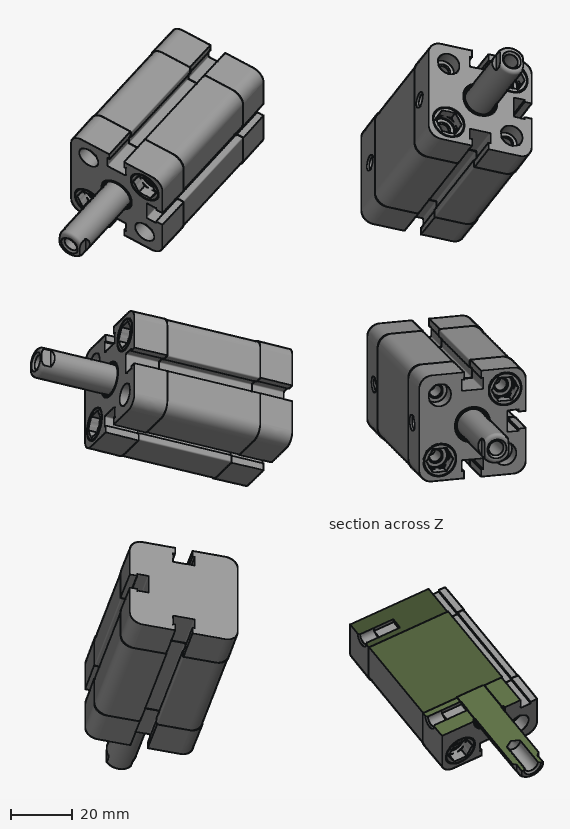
import cadquery as cq
import math


total_length = 83.6
front_cap_length = 11.9
barrel_length = 33.5
rear_cap_length = 11.6
body_length = front_cap_length + barrel_length + rear_cap_length
rod_stick_out = total_length - body_length
rear_cap_start = front_cap_length + barrel_length

barrel_side = 36.0
barrel_corner_radius = 4.5
cap_side = 36.3
cap_corner_radius = 4.35
cap_draft_angle = 0.5

slot_angles = (0, 90, 180)
slot_lip_height = 15.55
cap_slot_mouth = 5.8
cap_slot_width = 7.3
cap_slot_floor = 11.8
barrel_slot_mouth = 5.3
barrel_slot_width = 6.85
barrel_slot_floor = 12.0
slot_floor_radius = 0.4
lip_edge_radius = 0.5

mount_offset = 11.0
mount_bore_diameter = 7.5
mount_bore_depth = 4.7
thread_diameter = 4.9
thread_core_diameter = 4.1

socket_groove_diameter = 11.1
socket_rim_diameter = 10.45
socket_groove_depth = 0.7
hex_across_flats = 7.9
hex_depth = 3.2
socket_bore_diameter = 8.0

port_distance = 7.5
port_diameter = 4.1
port_mouth_diameter = 5.35
port_depth = 5.85
port_slit_height = 2.8

rod_diameter = 10.0
rod_tip_radius = 1.25
rod_bore_diameter = 4.9
rod_bore_mouth_diameter = 6.4
rod_bore_depth = 11.7
drill_point_angle = 118.0
flats_width = 8.0
flats_length = 3.35

wiper_mouth_diameter = 12.0
wiper_recess_diameter = 11.4
wiper_recess_depth = 0.8
lip_foot_diameter = 11.1
lip_top_diameter = 10.9
lip_bore_diameter = 10.45
lip_top_depth = 0.2


def y_plane(y):
    """Workplane at height y, looking along +Y, with its local axes along X and -Z."""
    return cq.Workplane(cq.Plane(origin=(0, y, 0), xDir=(1, 0, 0), normal=(0, 1, 0)))


def revolve_about_y(points):
    """Revolve a closed outline of (radius, y) points about the Y axis."""
    return cq.Workplane("XY").polyline(points).close().revolve(360, (0, 0), (0, 1))


def slot_cutters(mouth, width, floor, start, length):
    """T-slot cutters for the three slotted sides."""
    outside = cap_side
    wide_part = (
        cq.Workplane("XY")
        .box(width, length, slot_lip_height - floor, centered=(True, False, False))
        .edges("|Y and <Z")
        .fillet(slot_floor_radius)
        .translate((0, start, floor))
    )
    narrow_part = (
        cq.Workplane("XY")
        .box(mouth, length, outside - slot_lip_height, centered=(True, False, False))
        .translate((0, start, slot_lip_height))
    )
    slot = wide_part.union(narrow_part)
    return [slot.rotate((0, 0, 0), (0, 1, 0), angle) for angle in slot_angles]


def cut_slots(body, mouth, width, floor, start, length):
    for cutter in slot_cutters(mouth, width, floor, start, length):
        body = body.cut(cutter)
    return body


def make_barrel():
    barrel = (
        y_plane(front_cap_length)
        .rect(barrel_side, barrel_side)
        .extrude(barrel_length)
        .edges("|Y")
        .fillet(barrel_corner_radius)
    )
    barrel = cut_slots(
        barrel, barrel_slot_mouth, barrel_slot_width, barrel_slot_floor, front_cap_length, barrel_length
    )
    half_side = barrel_side / 2
    half_mouth = barrel_slot_mouth / 2
    middle = front_cap_length + barrel_length / 2
    for x, z in (
        (half_mouth, half_side),
        (-half_mouth, half_side),
        (half_mouth, -half_side),
        (-half_mouth, -half_side),
        (half_side, half_mouth),
        (half_side, -half_mouth),
    ):
        barrel = barrel.edges(cq.selectors.NearestToPointSelector((x, middle, z))).fillet(lip_edge_radius)
    return barrel


def port_cutter(y):
    """Blind air port with a countersunk mouth and a slit that runs in to the rod's diameter."""
    side = cap_side / 2
    radius = port_diameter / 2
    mouth_radius = port_mouth_diameter / 2
    port_floor = side - port_depth
    drill = (
        cq.Workplane("XY")
        .polyline(
            [
                (-side, 0),
                (-side, mouth_radius),
                (-side + mouth_radius - radius, radius),
                (-port_floor, radius),
                (-port_floor, 0),
            ]
        )
        .close()
        .revolve(360, (0, 0), (1, 0))
    )
    slit = cq.Workplane("XY").box(port_floor, port_diameter, port_slit_height, centered=(False, True, True))
    slit = slit.translate((-port_floor, 0, 0))
    core = y_plane(-port_diameter).circle(rod_diameter / 2).extrude(2 * port_diameter)
    return drill.union(slit.cut(core)).translate((0, y, 0))


def make_cap(joint_y, outward, length):
    """Drafted cap block; outward is +1 or -1, the Y direction from the joint to the outer face."""
    plane = cq.Plane(origin=(0, joint_y, 0), xDir=(1, 0, 0), normal=(0, outward, 0))
    cap = (
        cq.Workplane(plane)
        .sketch()
        .rect(cap_side, cap_side)
        .vertices()
        .fillet(cap_corner_radius)
        .finalize()
        .extrude(length, taper=cap_draft_angle)
    )
    start = min(joint_y, joint_y + outward * length)
    cap = cut_slots(cap, cap_slot_mouth, cap_slot_width, cap_slot_floor, start, length)
    return cap.cut(port_cutter(joint_y + outward * (length - port_distance)))


def mount_hole_cutter(bore_diameter):
    """Bore with a coned bottom edge, then a countersunk thread core through the rest of the front cap."""
    bore_radius = bore_diameter / 2
    floor_radius = mount_bore_diameter / 2
    core_radius = thread_core_diameter / 2
    thread_radius = thread_diameter / 2
    outline = [(0, 0), (bore_radius, 0)]
    if bore_radius > floor_radius:
        outline.append((bore_radius, mount_bore_depth - (bore_radius - floor_radius)))
    outline += [
        (floor_radius, mount_bore_depth),
        (thread_radius, mount_bore_depth),
        (core_radius, mount_bore_depth + thread_radius - core_radius),
        (core_radius, front_cap_length),
        (0, front_cap_length),
    ]
    return revolve_about_y(outline)


def socket_cutters():
    """Mounting hole with a hexagon at its mouth and a V-groove around it."""
    groove_radius = socket_groove_diameter / 2
    rim_radius = socket_rim_diameter / 2
    groove = revolve_about_y([(rim_radius, 0), (groove_radius, 0), (groove_radius, socket_groove_depth)])
    across_corners = hex_across_flats / math.cos(math.radians(30))
    hexagon = y_plane(0).polygon(6, across_corners).extrude(hex_depth)
    hole = mount_hole_cutter(socket_bore_diameter).union(hexagon)
    return [hole, groove]


def rod_hole_cutter():
    """Bore fitting the rod, with the wiper lip standing in the recess at its mouth."""
    mouth_radius = wiper_mouth_diameter / 2
    recess_radius = wiper_recess_diameter / 2
    rod_radius = rod_diameter / 2
    return revolve_about_y(
        [
            (0, 0),
            (mouth_radius, 0),
            (recess_radius, mouth_radius - recess_radius),
            (recess_radius, wiper_recess_depth),
            (lip_foot_diameter / 2, wiper_recess_depth),
            (lip_top_diameter / 2, lip_top_depth),
            (lip_bore_diameter / 2, lip_top_depth),
            (lip_bore_diameter / 2, wiper_recess_depth),
            (rod_radius, wiper_recess_depth),
            (rod_radius, front_cap_length),
            (0, front_cap_length),
        ]
    )


def make_front_cap():
    cap = make_cap(front_cap_length, -1, front_cap_length)
    plain_hole = mount_hole_cutter(mount_bore_diameter)
    for side in (1, -1):
        cap = cap.cut(plain_hole.translate((-side * mount_offset, 0, side * mount_offset)))
        for cutter in socket_cutters():
            cap = cap.cut(cutter.translate((side * mount_offset, 0, side * mount_offset)))
    return cap.cut(rod_hole_cutter())


def make_rear_cap():
    return make_cap(rear_cap_start, 1, rear_cap_length)


def make_rod():
    radius = rod_diameter / 2
    tip_y = -rod_stick_out
    rod = (
        y_plane(tip_y)
        .circle(radius)
        .extrude(rod_stick_out + front_cap_length)
        .faces("<Y")
        .edges()
        .fillet(rod_tip_radius)
    )

    bore_radius = rod_bore_diameter / 2
    mouth_radius = rod_bore_mouth_diameter / 2
    point_length = bore_radius / math.tan(math.radians(drill_point_angle / 2))
    bore = revolve_about_y(
        [
            (0, tip_y),
            (mouth_radius, tip_y),
            (bore_radius, tip_y + mouth_radius - bore_radius),
            (bore_radius, tip_y + rod_bore_depth),
            (0, tip_y + rod_bore_depth + point_length),
        ]
    )
    rod = rod.cut(bore)

    half_flats = flats_width / 2
    flat_depth = radius - half_flats
    flats_end = tip_y + flats_length
    flat = (
        cq.Workplane("XY")
        .polyline(
            [
                (half_flats, tip_y),
                (half_flats, flats_end),
                (radius, flats_end + flat_depth),
                (radius, tip_y),
            ]
        )
        .close()
        .extrude(radius, both=True)
    )
    return rod.cut(flat).cut(flat.mirror("YZ"))


front_cap = make_front_cap()
barrel = make_barrel()
rear_cap = make_rear_cap()
rod = make_rod()

result = cq.Compound.makeCompound([front_cap.val(), barrel.val(), rear_cap.val(), rod.val()])